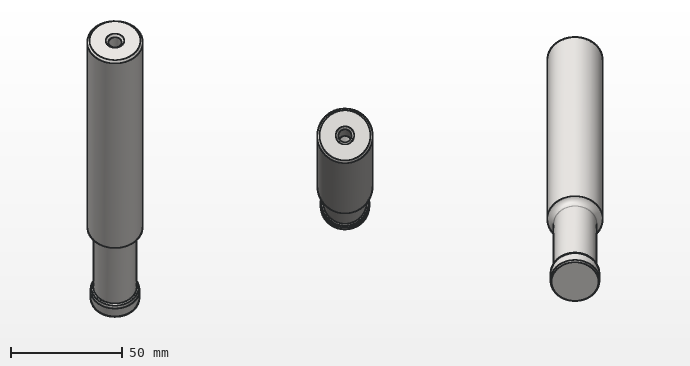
import cadquery as cq
import math

total_height = 180.0

body_radius = 25.0 / 2
neck_radius = 19.5 / 2
shoulder_height = 50.4
shoulder_arc_radius = 3.8
top_chamfer = 1.0

hole_radius = 6.0 / 2
hole_mouth_radius = 8.3 / 2
hole_depth = 18.0
drill_half_angle = math.radians(59)

head_radius = 22.1 / 2
head_bevel_radius = 21.8 / 2
head_rim_radius = 21.0 / 2
head_height = 8.5
head_slope_height = 0.5
upper_bevel_height = 0.9
bevel_step = 0.5


def revolve_profile(profile):
    """Turn a closed profile, drawn as (radius, height), about the Z axis."""
    return profile.close().revolve(360, (0, 0, 0), (0, 1, 0))


def make_hole():
    """Countersunk drilled hole with a conical bottom."""
    bottom = total_height - hole_depth
    countersink_depth = hole_mouth_radius - hole_radius
    tip = bottom - hole_radius / math.tan(drill_half_angle)
    return revolve_profile(
        cq.Workplane("XZ")
        .moveTo(0, tip)
        .lineTo(hole_radius, bottom)
        .lineTo(hole_radius, total_height - countersink_depth)
        .lineTo(hole_mouth_radius, total_height)
        .lineTo(0, total_height)
    )


def make_shank():
    """Neck and body joined by a concave arc that leaves the neck tangentially and meets the body edge."""
    arc_center_radius = neck_radius + shoulder_arc_radius
    arc_angle = math.acos((arc_center_radius - body_radius) / shoulder_arc_radius)
    arc_start_height = shoulder_height - shoulder_arc_radius * math.sin(arc_angle)
    arc_middle = (
        arc_center_radius - shoulder_arc_radius * math.cos(arc_angle / 2),
        arc_start_height + shoulder_arc_radius * math.sin(arc_angle / 2),
    )
    blank = revolve_profile(
        cq.Workplane("XZ")
        .moveTo(0, head_height)
        .lineTo(neck_radius, head_height)
        .lineTo(neck_radius, arc_start_height)
        .threePointArc(arc_middle, (body_radius, shoulder_height))
        .lineTo(body_radius, total_height - top_chamfer)
        .lineTo(body_radius - top_chamfer, total_height)
        .lineTo(0, total_height)
    )
    return blank.cut(make_hole())


def make_head():
    """Disc that closes the lower end of the neck, with a two-step bevel at each rim."""
    upper_land_top = head_height - head_slope_height
    upper_bevel_bottom = upper_land_top - upper_bevel_height
    return revolve_profile(
        cq.Workplane("XZ")
        .lineTo(head_rim_radius, 0)
        .lineTo(head_bevel_radius, bevel_step)
        .lineTo(head_radius, 2 * bevel_step)
        .lineTo(head_radius, upper_bevel_bottom - bevel_step)
        .lineTo(head_bevel_radius, upper_bevel_bottom)
        .lineTo(head_rim_radius, upper_land_top)
        .lineTo(neck_radius, head_height)
        .lineTo(0, head_height)
    )


shank = make_shank()
head = make_head()

result = cq.Compound.makeCompound([shank.val(), head.val()])